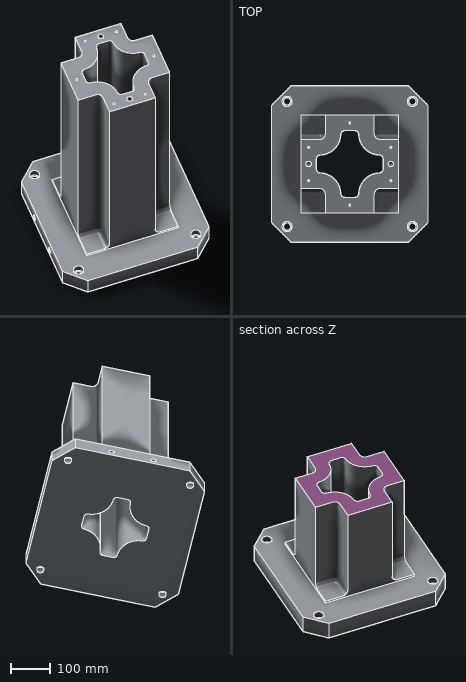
import cadquery as cq
import math

PLATE_SIZE = 400.0
PLATE_THICKNESS = 50.0
PLATE_CORNER_CHAMFER = 50.0

TOTAL_HEIGHT = 650.0
COLUMN_SIZE = 250.0
ARM_WIDTH = COLUMN_SIZE / 2
NOTCH_RADIUS = 15.0
PAD_HEIGHT = 6.0

WALL = 40.0
CORE_LENGTH = COLUMN_SIZE - 2 * WALL
CORE_WIDTH = ARM_WIDTH - 2 * WALL
CORE_ARC_RADIUS = NOTCH_RADIUS + WALL
CORE_END_RADIUS = 10.0

MOUNT_OFFSET = 160.0
MOUNT_DIAMETER = 18.0
MOUNT_BORE_DIAMETER = 26.0
MOUNT_BORE_DEPTH = 20.0

LARGE_DRILL_DIAMETER = 14.0
LARGE_DRILL_DEPTH = 35.0
SMALL_DRILL_DIAMETER = 5.0
SMALL_DRILL_DEPTH = 15.0
DRILL_TIP_ANGLE = 118.0

TOP_HOLE_OFFSET = COLUMN_SIZE / 2 - WALL / 2
SMALL_HOLE_SIDE_OFFSET = 42.5
FRONT_HOLE_OFFSET = 55.0
FRONT_HOLE_HEIGHT = 18.0

QUADRANTS = [(1, 1), (-1, 1), (-1, -1), (1, -1)]
DOWN = (0, 0, -1)
INTO_FRONT = (0, 1, 0)


def base_plate():
    plate = cq.Workplane("XY").rect(PLATE_SIZE, PLATE_SIZE).extrude(PLATE_THICKNESS)
    return plate.edges("|Z").chamfer(PLATE_CORNER_CHAMFER)


def quadrant_block(quadrant, near, far, floor, radius, round_floor):
    """Square block from near to far along X and Y in one quadrant, from floor upward.

    Its vertical edge nearest the Z axis is rounded, and so are the two floor
    edges that meet it when round_floor is set.
    """
    sign_x, sign_y = quadrant
    side = far - near
    center = (near + far) / 2
    height = TOTAL_HEIGHT + radius - floor
    block = cq.Workplane("XY").box(side, side, height, centered=(True, True, False))
    block = block.translate((sign_x * center, sign_y * center, floor))
    near_x = "<X" if sign_x > 0 else ">X"
    near_y = "<Y" if sign_y > 0 else ">Y"
    rounded = f"(({near_x} and {near_y}) and |Z)"
    if round_floor:
        rounded += f" or ({near_x} and <Z) or ({near_y} and <Z)"
    return block.edges(rounded).fillet(radius)


def column():
    """Square column with a notch in each corner that ends just above the plate."""
    body = cq.Workplane("XY").rect(COLUMN_SIZE, COLUMN_SIZE).extrude(TOTAL_HEIGHT)
    near = ARM_WIDTH / 2
    far = COLUMN_SIZE / 2 + NOTCH_RADIUS
    floor = PLATE_THICKNESS + PAD_HEIGHT
    for quadrant in QUADRANTS:
        body = body.cut(quadrant_block(quadrant, near, far, floor, NOTCH_RADIUS, True))
    return body


def core():
    """Cross-shaped through opening with large arcs concentric to the notch roundings."""
    opening = cq.Workplane("XY").rect(CORE_LENGTH, CORE_LENGTH).extrude(TOTAL_HEIGHT)
    near = CORE_WIDTH / 2
    far = CORE_LENGTH / 2 + CORE_ARC_RADIUS
    for quadrant in QUADRANTS:
        opening = opening.cut(quadrant_block(quadrant, near, far, 0, CORE_ARC_RADIUS, False))
    return opening.edges("|Z and (<X or >X or <Y or >Y)").fillet(CORE_END_RADIUS)


def add_mounting_holes(body):
    points = [(sign_x * MOUNT_OFFSET, sign_y * MOUNT_OFFSET) for sign_x, sign_y in QUADRANTS]
    plate_top = cq.Workplane("XY", origin=(0, 0, PLATE_THICKNESS)).pushPoints(points)
    through = plate_top.circle(MOUNT_DIAMETER / 2).extrude(-PLATE_THICKNESS)
    bore = plate_top.circle(MOUNT_BORE_DIAMETER / 2).extrude(-MOUNT_BORE_DEPTH)
    return body.cut(through).cut(bore)


def drill(body, position, direction, diameter, depth):
    """Cut a blind hole with a conical tip beyond its full-diameter depth."""
    radius = diameter / 2
    tip = radius / math.tan(math.radians(DRILL_TIP_ANGLE / 2))
    start = cq.Vector(*position)
    axis = cq.Vector(*direction)
    shank = cq.Solid.makeCylinder(radius, depth, start, axis)
    cone = cq.Solid.makeCone(radius, 0, tip, start + axis * depth, axis)
    return body.cut(cq.Workplane(shank.fuse(cone)))


def add_top_holes(body):
    small_points = [(0, TOP_HOLE_OFFSET), (0, -TOP_HOLE_OFFSET)]
    for sign_x, sign_y in QUADRANTS:
        small_points.append((sign_x * TOP_HOLE_OFFSET, sign_y * SMALL_HOLE_SIDE_OFFSET))
    for x, y in small_points:
        body = drill(body, (x, y, TOTAL_HEIGHT), DOWN, SMALL_DRILL_DIAMETER, SMALL_DRILL_DEPTH)
    for x in (-TOP_HOLE_OFFSET, TOP_HOLE_OFFSET):
        body = drill(body, (x, 0, TOTAL_HEIGHT), DOWN, LARGE_DRILL_DIAMETER, LARGE_DRILL_DEPTH)
    return body


def add_front_holes(body):
    for x in (-FRONT_HOLE_OFFSET, FRONT_HOLE_OFFSET):
        position = (x, -PLATE_SIZE / 2, FRONT_HOLE_HEIGHT)
        body = drill(body, position, INTO_FRONT, LARGE_DRILL_DIAMETER, LARGE_DRILL_DEPTH)
    return body


result = base_plate().union(column()).cut(core())
result = add_mounting_holes(result)
result = add_top_holes(result)
result = add_front_holes(result)